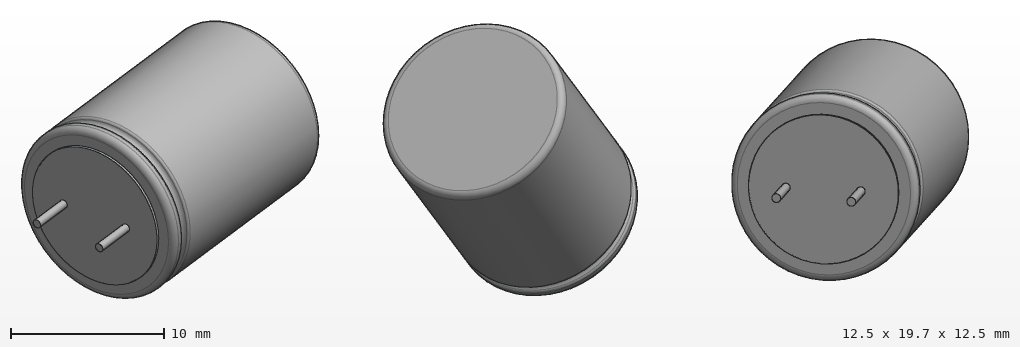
import cadquery as cq
import math

overall_length = 19.7
can_diameter = 12.5
rim_radius = 0.47
seal_diameter = 10.0
seal_height = 0.2
lead_length = 3.0
lead_diameter = 0.6
lead_pitch = 5.0

groove_center = 1.45
groove_depth = 0.37
groove_radius = 0.345
groove_blend_radius = 0.2

can_radius = can_diameter / 2
can_back = overall_length - lead_length
can_length = can_back - seal_height


def along_y(diameter, start, end, points=((0, 0),)):
    """Cylinders parallel to Y, spanning start to end, at the given (X, Z) points."""
    plane = cq.Plane(origin=(0, start, 0), xDir=(1, 0, 0), normal=(0, 1, 0))
    centers = [(x, -z) for x, z in points]
    return cq.Workplane(plane).pushPoints(centers).circle(diameter / 2).extrude(end - start)


def make_can():
    return along_y(can_diameter, seal_height, can_back).edges().fillet(rim_radius)


def make_groove_cutter():
    arc_sum = groove_radius + groove_blend_radius
    angle = math.acos(1 - groove_depth / arc_sum)
    half_width = arc_sum * math.sin(angle)
    floor = can_radius - groove_depth

    tangent_offset = groove_radius * math.sin(angle)
    tangent_radius = floor + groove_radius * (1 - math.cos(angle))

    blend_offset = half_width - groove_blend_radius * math.sin(angle / 2)
    blend_mid_radius = can_radius - groove_blend_radius * (1 - math.cos(angle / 2))

    def point(radius, offset):
        return (radius, groove_center + offset)

    profile = (
        cq.Workplane("XY")
        .moveTo(*point(can_radius, -half_width))
        .threePointArc(point(blend_mid_radius, -blend_offset), point(tangent_radius, -tangent_offset))
        .threePointArc(point(floor, 0), point(tangent_radius, tangent_offset))
        .threePointArc(point(blend_mid_radius, blend_offset), point(can_radius, half_width))
        .close()
    )
    return profile.revolve(360, (0, 0, 0), (0, 1, 0))


seal = along_y(seal_diameter, 0, can_length / 2)
lead_points = [(side * lead_pitch / 2, 0) for side in (-1, 1)]
leads = along_y(lead_diameter, -lead_length, can_length / 2, lead_points)

result = make_can().cut(make_groove_cutter()).union(seal).union(leads)